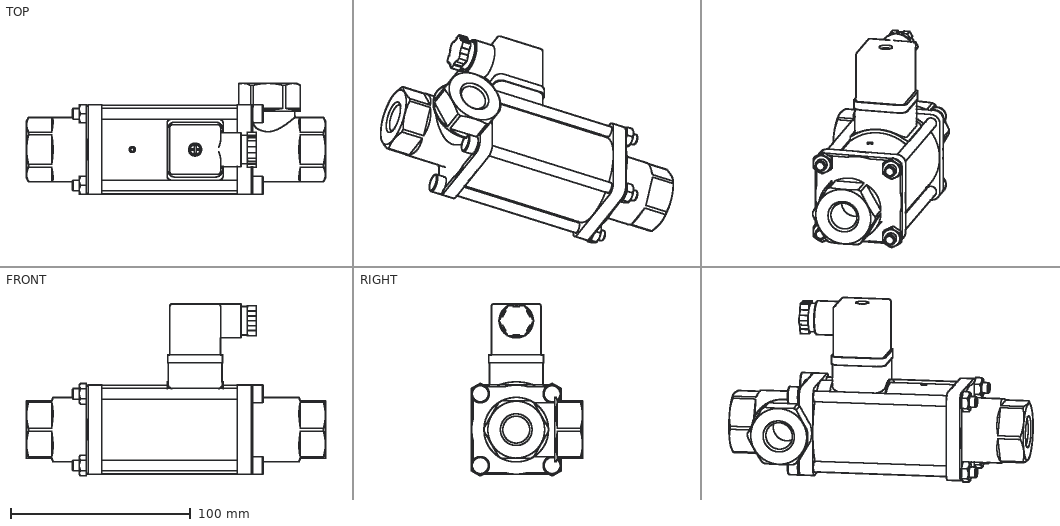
import cadquery as cq
import math


LENGTH = 166.5
TOP_Z = 70.1
SIDE_PORT_Y = 37.0

PIPE_R = 18.0
HEX_FLATS = 32.0
HEX_LENGTH = 14.8
FLAT_RUNOUT = 0.8
FACE_CHAMFER_X = 1.2
FACE_CHAMFER_R = 2.2
BORE_D = 15.0
BORE_DEPTH = 25.0
BORE_CHAMFER = 1.3
COLLAR_R = 2.5

SIDE_PORT_X = 134.5
SIDE_NECK_R = 15.0
SIDE_HEAD_LENGTH = 15.7
RELIEF_R = 16.5
RELIEF_HALF_HEIGHT = 6.7

FLANGE_X = 33.3
FLANGE_T = 8.7
FLANGE_SPAN = 92.7
FLANGE_W = 50.0
FLANGE_CORNER_R = 5.0
FLANGE_CHAMFER = 1.0
BODY_R = 24.8
FLANGE_END_X = FLANGE_X + FLANGE_SPAN

BOLT_OFFSET = 20.0
ROD_D = 6.0
STUD_X = 25.5
STUD_CHAMFER = 0.7
NUT_FLATS = 10.0
NUT_T = 4.0
NUT_CHAMFER = 0.8
HEAD_D = 10.0
HEAD_T = 5.8
HEAD_CHAMFER = 0.5

VENT_X = 59.0
VENT_D = 2.0
VENT_MOUTH_D = 3.3
VENT_CHAMFER = 0.7
VENT_DEPTH = 3.3

PLUG_X = 93.9
SADDLE_R = 26.6
SADDLE_LENGTH = 31.3
SADDLE_WIDTH = 34.0
SADDLE_CORNER_R = 2.5
BASE_LENGTH = 30.0
BASE_CORNER_R = 5.0
RIM_LENGTH = 30.6
RIM_CORNER_R = 4.2
RIM_BOTTOM_Z = 37.1
HOOD_BOTTOM_Z = 41.6
HOOD_LENGTH = 28.3
HOOD_WIDTH = 27.6
HOOD_EDGE_R = 1.5
SCREW_X = 93.9
SCREW_D = 7.2
SCREW_RECESS = 2.7
SCREW_HEAD_D = 5.7
SCREW_HEAD_T = 1.3
CROSS_LENGTH = 4.0
CROSS_WIDTH = 1.0
CROSS_DEPTH = 0.8

GLAND_D = 19.0
GLAND_END_X = 119.7
GLAND_CHAMFER = 0.5
GLAND_NECK_D = 16.0
CAP_X = 123.0
CAP_END_X = 128.0
CAP_CORNER_D = 19.5
CAP_SIDES = 6
CAP_GROOVE_DEPTH = 0.7
GLAND_Z = TOP_Z - GLAND_D / 2


def rod_x(diameter, x_start, x_end, y=0.0, z=0.0):
    """Round bar along X."""
    return cq.Workplane("YZ", origin=(x_start, y, z)).circle(diameter / 2).extrude(x_end - x_start)


def rounded_block(length, width, corner_r, z_bottom, z_top):
    """Upright block centred on the plug axis with rounded vertical edges."""
    block = cq.Workplane("XY", origin=(PLUG_X, 0, z_bottom)).rect(length, width).extrude(z_top - z_bottom)
    return block.edges("|Z").fillet(corner_r)


def hex_head(length):
    """Hexagonal pipe end on +Z: face at Z = 0, flats up from it, corners turned down to the pipe radius."""
    straight = HEX_LENGTH - FLAT_RUNOUT
    corner_d = HEX_FLATS / math.cos(math.pi / 6)
    runout_angle = math.degrees(math.atan((PIPE_R - HEX_FLATS / 2) / FLAT_RUNOUT))
    flats = cq.Workplane("XY").polygon(6, corner_d).extrude(straight)
    runout = (
        cq.Workplane("XY", origin=(0, 0, straight))
        .polygon(6, corner_d)
        .extrude(FLAT_RUNOUT, taper=-runout_angle)
    )
    head = flats.union(runout)
    if length > HEX_LENGTH:
        shank = cq.Workplane("XY", origin=(0, 0, HEX_LENGTH)).circle(PIPE_R).extrude(length - HEX_LENGTH)
        head = head.union(shank)
    turned = (
        cq.Workplane("XZ")
        .moveTo(0, 0)
        .lineTo(PIPE_R - FACE_CHAMFER_R, 0)
        .lineTo(PIPE_R, FACE_CHAMFER_X)
        .lineTo(PIPE_R, length)
        .lineTo(0, length)
        .close()
        .revolve(360, (0, 0, 0), (0, 1, 0))
    )
    return head.intersect(turned)


def port_bore():
    """Blind bore on +Z with a chamfered mouth at Z = 0."""
    bore_r = BORE_D / 2
    return (
        cq.Workplane("XZ")
        .moveTo(0, 0)
        .lineTo(bore_r + BORE_CHAMFER, 0)
        .lineTo(bore_r, BORE_CHAMFER)
        .lineTo(bore_r, BORE_DEPTH)
        .lineTo(0, BORE_DEPTH)
        .close()
        .revolve(360, (0, 0, 0), (0, 1, 0))
    )


def to_inlet(shape):
    """Turn a +Z shape to run along +X from the inlet face, with hex flats at top and bottom."""
    return shape.rotate((0, 0, 0), (0, 0, 1), 90).rotate((0, 0, 0), (0, 1, 0), 90)


def to_outlet(shape):
    """Place a +Z shape on the outlet face, running back along -X."""
    return to_inlet(shape).mirror("YZ").translate((LENGTH, 0, 0))


def to_side(shape):
    """Turn a +Z shape to run along -Y from the side port face."""
    return shape.rotate((0, 0, 0), (1, 0, 0), 90).translate((SIDE_PORT_X, SIDE_PORT_Y, 0))


def collar():
    """Concave transition from pipe to flange, on the inlet side."""
    x_start = FLANGE_X - COLLAR_R
    foot_r = PIPE_R + COLLAR_R
    mid = COLLAR_R * math.sqrt(0.5)
    return (
        cq.Workplane("XY")
        .moveTo(x_start, 0)
        .lineTo(x_start, PIPE_R)
        .threePointArc((x_start + mid, foot_r - mid), (FLANGE_X, foot_r))
        .lineTo(FLANGE_X, 0)
        .close()
        .revolve(360, (0, 0, 0), (1, 0, 0))
    )


def flange():
    """Square inlet flange with rounded corners and a chamfered outer face."""
    plate = cq.Workplane("YZ", origin=(FLANGE_X, 0, 0)).rect(FLANGE_W, FLANGE_W).extrude(FLANGE_T)
    return plate.edges("|X").fillet(FLANGE_CORNER_R).faces("<X").chamfer(FLANGE_CHAMFER)


def mirror_to_outlet(shape):
    """Mirror an inlet-side shape about the middle of the coil body."""
    return shape.mirror("YZ").translate((2 * FLANGE_X + FLANGE_SPAN, 0, 0))


def side_port():
    """Hexagonal side port with its round neck; the corner beside the flange is turned down."""
    head = to_side(hex_head(SIDE_HEAD_LENGTH))
    relief = (
        cq.Workplane("XZ", origin=(SIDE_PORT_X, SIDE_PORT_Y, 0))
        .circle(PIPE_R + 1.7)
        .circle(RELIEF_R)
        .extrude(SIDE_HEAD_LENGTH)
    )
    corner = (
        cq.Workplane("XZ", origin=(SIDE_PORT_X - PIPE_R, SIDE_PORT_Y, 0))
        .rect(PIPE_R, 2 * RELIEF_HALF_HEIGHT)
        .extrude(SIDE_HEAD_LENGTH)
    )
    neck = (
        cq.Workplane("XZ", origin=(SIDE_PORT_X, SIDE_PORT_Y - HEX_LENGTH, 0))
        .circle(SIDE_NECK_R)
        .extrude(SIDE_PORT_Y - HEX_LENGTH)
    )
    return head.cut(relief.intersect(corner)).union(neck)


def tie_bolt(y, z):
    """Through bolt: chamfered stud end, nut on the inlet flange, round head on the outlet flange."""
    rod = rod_x(ROD_D, STUD_X, FLANGE_END_X, y, z).faces("<X").chamfer(STUD_CHAMFER)
    head = rod_x(HEAD_D, FLANGE_END_X, FLANGE_END_X + HEAD_T, y, z).faces(">X").chamfer(HEAD_CHAMFER)
    corner_d = NUT_FLATS / math.cos(math.pi / 6)
    nut_x = FLANGE_X - NUT_T
    nut = cq.Workplane("YZ", origin=(nut_x, y, z)).polygon(6, corner_d).extrude(NUT_T)
    nut = nut.rotate((0, y, z), (1, y, z), 90)
    turned = rod_x(corner_d, nut_x, FLANGE_X, y, z).faces("<X").chamfer(NUT_CHAMFER)
    return rod.union(head).union(nut.intersect(turned))


def vent():
    """Small countersunk hole in the top of the coil body."""
    hole = cq.Workplane("XY", origin=(VENT_X, 0, BODY_R - VENT_DEPTH)).circle(VENT_D / 2).extrude(VENT_DEPTH)
    mouth = (
        cq.Workplane("XY", origin=(VENT_X, 0, BODY_R - VENT_CHAMFER))
        .circle(VENT_D / 2)
        .workplane(offset=VENT_CHAMFER)
        .circle(VENT_MOUTH_D / 2)
        .loft()
    )
    return hole.union(mouth)


def saddle():
    """Thin curved pad that seats the connector on the coil body."""
    pad = rounded_block(SADDLE_LENGTH, SADDLE_WIDTH, SADDLE_CORNER_R, 0, SADDLE_R)
    return pad.intersect(rod_x(2 * SADDLE_R, FLANGE_X, FLANGE_END_X))


def hood():
    """Connector hood with rounded top and vertical edges."""
    height = TOP_Z - HOOD_BOTTOM_Z
    block = cq.Workplane("XY", origin=(PLUG_X, 0, HOOD_BOTTOM_Z)).rect(HOOD_LENGTH, HOOD_WIDTH).extrude(height)
    return block.edges("|Z or >Z").fillet(HOOD_EDGE_R)


def cable_gland():
    """Gland barrel, neck and hexagonal cap, grooved along the middle of each side, on the +X side of the hood."""
    barrel = rod_x(GLAND_D, PLUG_X, GLAND_END_X, 0, GLAND_Z).faces(">X").chamfer(GLAND_CHAMFER)
    neck = rod_x(GLAND_NECK_D, GLAND_END_X, CAP_X, 0, GLAND_Z)
    cap_length = CAP_END_X - CAP_X
    cap = cq.Workplane("YZ", origin=(CAP_X, 0, GLAND_Z)).polygon(CAP_SIDES, CAP_CORNER_D).extrude(cap_length)
    side_offset = CAP_CORNER_D / 2 * math.cos(math.pi / CAP_SIDES)
    side_length = CAP_CORNER_D * math.sin(math.pi / CAP_SIDES)
    groove = (
        cq.Workplane("YZ", origin=(CAP_X, 0, GLAND_Z + side_offset))
        .rect(side_length / 3, 2 * CAP_GROOVE_DEPTH)
        .extrude(cap_length)
    )
    for index in range(CAP_SIDES):
        cap = cap.cut(groove.rotate((0, 0, GLAND_Z), (1, 0, GLAND_Z), index * 360 / CAP_SIDES))
    return barrel.union(neck).union(cap)


def hood_screw():
    """Recess in the hood top and the cross-slotted screw head lying in it, as (recess, head)."""
    floor_z = TOP_Z - SCREW_RECESS
    recess = cq.Workplane("XY", origin=(SCREW_X, 0, floor_z)).circle(SCREW_D / 2).extrude(SCREW_RECESS)
    head = cq.Workplane("XY", origin=(SCREW_X, 0, floor_z)).circle(SCREW_HEAD_D / 2).extrude(SCREW_HEAD_T)
    slot_plane = cq.Workplane("XY", origin=(SCREW_X, 0, floor_z + SCREW_HEAD_T))
    for length, width in ((CROSS_LENGTH, CROSS_WIDTH), (CROSS_WIDTH, CROSS_LENGTH)):
        head = head.cut(slot_plane.rect(length, width).extrude(-CROSS_DEPTH))
    return recess, head


result = rod_x(2 * BODY_R, FLANGE_X, FLANGE_END_X)
result = result.union(saddle())
result = result.cut(vent())
result = result.union(to_inlet(hex_head(FLANGE_X)))
result = result.union(to_outlet(hex_head(LENGTH - FLANGE_END_X)))
for inlet_piece in (flange(), collar()):
    result = result.union(inlet_piece).union(mirror_to_outlet(inlet_piece))
result = result.union(side_port())
for place in (to_inlet, to_outlet, to_side):
    result = result.cut(place(port_bore()))

for y_side in (-1, 1):
    for z_side in (-1, 1):
        result = result.union(tie_bolt(y_side * BOLT_OFFSET, z_side * BOLT_OFFSET))

result = result.union(rounded_block(BASE_LENGTH, BASE_LENGTH, BASE_CORNER_R, 0, RIM_BOTTOM_Z))
result = result.union(rounded_block(RIM_LENGTH, RIM_LENGTH, RIM_CORNER_R, RIM_BOTTOM_Z, HOOD_BOTTOM_Z))
result = result.union(hood()).union(cable_gland())
screw_recess, screw_head = hood_screw()
result = result.cut(screw_recess).union(screw_head)